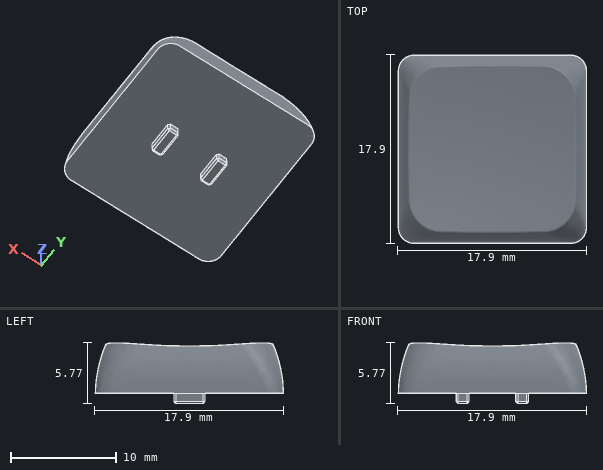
import cadquery as cq

base_side = 17.9
base_corner_radius = 1.52
wall_mid_height = 2.5
wall_mid_inset = 0.3
wall_mid_corner_radius = 2.33
wall_top_height = 5.01
wall_top_inset = 1.15
wall_top_corner_radius = 3.13

dish_radius = 57.28
dish_bottom_height = 3.95
rim_fillet = 0.21

leg_spacing = 5.65
leg_width = 1.24
leg_length = 2.97
leg_height = 0.98
leg_chamfer = 0.2


def wall_section(height, inset, corner_radius):
    """Rounded square outline of the body at one height."""
    side = base_side - 2 * inset
    outline = cq.Sketch().rect(side, side).vertices().fillet(corner_radius)
    return outline.moved(cq.Location(cq.Vector(0, 0, height)))


def make_body():
    blank = (
        cq.Workplane("XY")
        .placeSketch(
            wall_section(0, 0, base_corner_radius),
            wall_section(wall_mid_height, wall_mid_inset, wall_mid_corner_radius),
            wall_section(wall_top_height, wall_top_inset, wall_top_corner_radius),
        )
        .loft()
    )
    dish_center_height = dish_bottom_height + dish_radius
    dish = (
        cq.Workplane("XY")
        .sphere(dish_radius)
        .rotate((0, 0, 0), (0, 1, 0), -90)
        .translate((0, 0, dish_center_height))
    )
    return blank.cut(dish).faces(">Z").edges().fillet(rim_fillet)


def make_leg(x_center):
    """Plain block with its upright and lower edges chamfered, hanging from the underside."""
    return (
        cq.Workplane("XY")
        .center(x_center, 0)
        .rect(leg_width, leg_length)
        .extrude(-leg_height)
        .edges("|Z or <Z")
        .chamfer(leg_chamfer)
    )


result = make_body()
for x_center in (-leg_spacing / 2, leg_spacing / 2):
    result = result.union(make_leg(x_center))